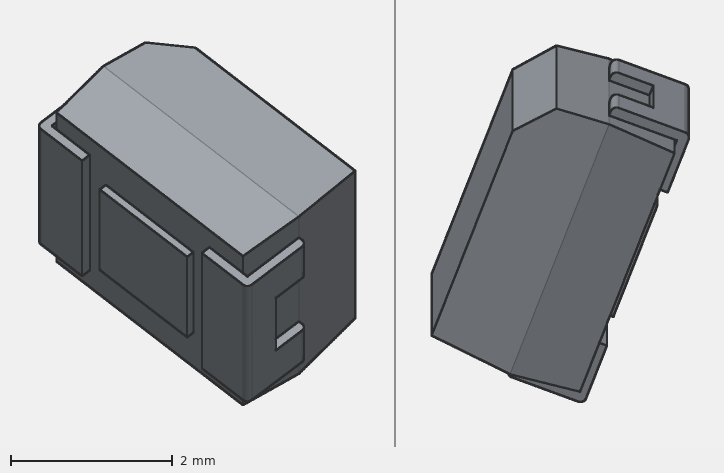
import cadquery as cq
import math

length = 3.7
depth = 2.1
housing_height = 3.0

terminal_thickness = 0.135
terminal_height = 2.2
terminal_reach = 1.03
foot_length = 0.8
corner_radius = 0.078
notch_height = 1.0
notch_depth = 0.533

draft_angle = 5.0
housing_length = length - 2 * terminal_thickness
front_depth = terminal_reach - terminal_thickness
back_depth = depth - terminal_reach
bevel_width = 0.53
bevel_depth = 0.4

pad_size = 1.535
pad_thickness = 0.107


def drafted_half(half_depth):
    """Half of the housing, from the parting plane and narrowing away from it."""
    return (
        cq.Workplane("XZ")
        .rect(housing_length, housing_height)
        .extrude(half_depth, taper=draft_angle)
    )


def make_housing():
    front_half = drafted_half(front_depth)
    back_half = drafted_half(back_depth).rotate((0, 0, 0), (0, 0, 1), 180)

    side_x = -housing_length / 2
    bevel_start_y = back_depth - bevel_depth
    bevel_start_x = side_x + bevel_start_y * math.tan(math.radians(draft_angle))
    bevel = (
        cq.Workplane("XY")
        .moveTo(bevel_start_x, bevel_start_y)
        .lineTo(side_x + bevel_width, back_depth)
        .lineTo(bevel_start_x, back_depth)
        .close()
        .extrude(housing_height / 2, both=True)
    )
    return front_half.union(back_half, clean=False).cut(bevel)


def make_terminal(side):
    """L-shaped terminal; side is -1 for the -X end and +1 for the +X end."""
    outer_x = side * length / 2
    inner_x = side * (length / 2 - terminal_thickness)
    foot_end_x = side * (length / 2 - foot_length)
    terminal = (
        cq.Workplane("XY")
        .moveTo(outer_x, 0)
        .lineTo(outer_x, -terminal_reach)
        .lineTo(foot_end_x, -terminal_reach)
        .lineTo(foot_end_x, -front_depth)
        .lineTo(inner_x, -front_depth)
        .lineTo(inner_x, 0)
        .close()
        .extrude(terminal_height / 2, both=True)
    )
    outer_face = "<X" if side < 0 else ">X"
    terminal = terminal.faces(outer_face).edges("|Z").fillet(corner_radius)

    notch = cq.Workplane("XY").box(2 * terminal_thickness, 2 * notch_depth, notch_height)
    return terminal.cut(notch.translate((outer_x, 0, 0)))


def make_pad():
    pad_plane = cq.Workplane("XZ", origin=(0, -front_depth, 0))
    return pad_plane.rect(pad_size, pad_size).extrude(pad_thickness)


housing = make_housing()
terminals = [make_terminal(side) for side in (-1, 1)]
pad = make_pad()

result = cq.Compound.makeCompound(
    [housing.val(), *[terminal.val() for terminal in terminals], pad.val()]
)